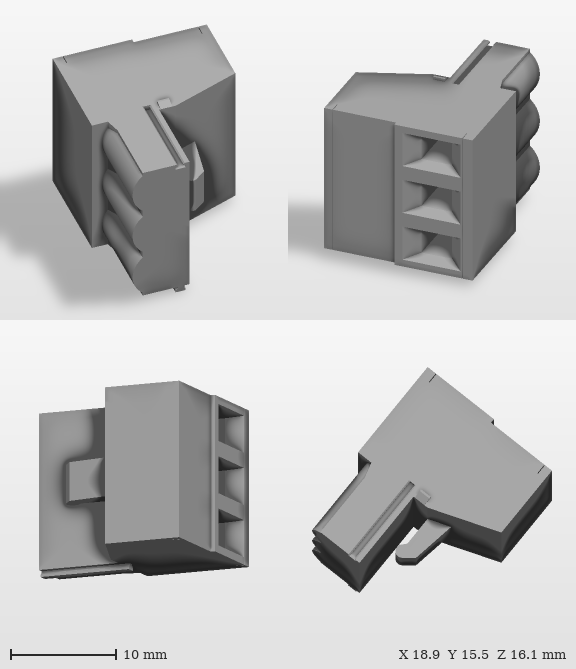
import cadquery as cq
import math


length = 18.85
width = 15.5
pole_count = 3
height = 15.2
pole_pitch = 5.07
pole_heights = [height / 2 + pole_pitch * (i - (pole_count - 1) / 2) for i in range(pole_count)]

front_step = 0.43
front_step_y = 8.07
roof_end_x = 8.12
shoulder_x = 10.63
shoulder_y = 8.5
rear_x = 10.57
tongue_top_y = 6.8
tongue_bottom_y = 2.04
ramp_end_x = 12.12
ramp_start_y = 1.62

shell_radius = 2.8
shell_bottom_y = 1.02

entry_y = 4.25
entry_mouth = (6.0, 3.58)
entry_throat = (3.15, 2.77)
funnel_depth = 1.32
throat_depth = 5.65

slit_width = 0.08
slit_depth = 1.07
lower_slit_y = 1.04
upper_slit_y = 14.6

latch_height = 3.77
latch_root_y = 10.75
latch_bend = (14.25, 10.0)
latch_notch_x = 13.69
hook_center = (14.57, 8.58)
hook_radius = 0.65

joint_start_x = 9.67
joint_y = 5.9
neck_half = 0.28
head_half = 0.5
rail_neck_height = 0.15
rail_ledge_half = 0.38
rail_ledge_start = 0.28
rail_ledge_end = 0.35
rail_height = 0.6
groove_mouth_half = 0.41
groove_chamfer_depth = 0.13
groove_neck_end = 0.25
groove_flare_end = 0.34
groove_depth = 0.57
tab_height = 0.3
tab_flat_end_x = 9.88
tab_y = 6.95
tab_width = 1.19


def make_housing():
    outline = [
        (0, 0),
        (rear_x, 0),
        (rear_x, ramp_start_y),
        (ramp_end_x, tongue_bottom_y),
        (length, tongue_bottom_y),
        (length, tongue_top_y),
        (shoulder_x, tongue_top_y),
        (shoulder_x, shoulder_y),
        (roof_end_x, width),
        (front_step, width),
        (front_step, front_step_y),
        (0, front_step_y),
    ]
    return cq.Workplane("XY").polyline(outline).close().extrude(height)


def make_shell(z):
    """Cylinder around one contact, kept only where it lies beside the tongue."""
    axis_y = shell_bottom_y + shell_radius
    shell_length = length - rear_x
    cylinder = cq.Workplane("YZ", origin=(rear_x, axis_y, z)).circle(shell_radius).extrude(shell_length)
    keep_depth = tongue_bottom_y - shell_bottom_y
    keep = cq.Workplane("XY").box(shell_length, keep_depth, pole_pitch, centered=(False, False, True))
    return cylinder.intersect(keep.translate((rear_x, shell_bottom_y, z)))


def make_wire_entry(z):
    """Cutter: a funnel narrowing into a straight rectangular throat."""
    mouth = cq.Workplane("YZ", origin=(0, entry_y, z)).rect(*entry_mouth)
    funnel = mouth.workplane(offset=funnel_depth).rect(*entry_throat).loft(ruled=True)
    throat = cq.Workplane("YZ", origin=(funnel_depth, entry_y, z)).rect(*entry_throat).extrude(throat_depth)
    return funnel.union(throat)


def make_slit(start_x, y):
    slit = cq.Workplane("XY").box(slit_depth, slit_width, height, centered=(False, True, False))
    return slit.translate((start_x, y, 0))


def tangent_point(point, side):
    """Point where a line from `point` touches the hook circle; side +1 or -1 picks the tangent."""
    dx = point[0] - hook_center[0]
    dy = point[1] - hook_center[1]
    angle = math.atan2(dy, dx) + side * math.acos(hook_radius / math.hypot(dx, dy))
    return (hook_center[0] + hook_radius * math.cos(angle), hook_center[1] + hook_radius * math.sin(angle))


def make_latch():
    root_fraction = (width - latch_root_y) / (width - shoulder_y)
    root_x = roof_end_x + (shoulder_x - roof_end_x) * root_fraction
    notch = (latch_notch_x, shoulder_y)
    hook_low_right = (
        hook_center[0] + hook_radius * math.cos(math.pi / 4),
        hook_center[1] - hook_radius * math.sin(math.pi / 4),
    )
    return (
        cq.Workplane("XY", origin=(0, 0, (height - latch_height) / 2))
        .moveTo(roof_end_x, shoulder_y)
        .lineTo(roof_end_x, latch_root_y)
        .lineTo(root_x, latch_root_y)
        .lineTo(*latch_bend)
        .lineTo(*tangent_point(latch_bend, -1))
        .threePointArc(hook_low_right, tangent_point(notch, 1))
        .lineTo(*notch)
        .close()
        .extrude(latch_height)
    )


def extrude_joint(half_profile):
    """Mirror (half width, z) points about the joint's middle plane and extrude them to the mating end."""
    mirrored = [(-half, z) for half, z in reversed(half_profile)]
    sketch = cq.Workplane("YZ", origin=(joint_start_x, joint_y, 0)).polyline(half_profile + mirrored)
    return sketch.close().extrude(length - joint_start_x)


def make_rail():
    return extrude_joint([
        (neck_half, 0),
        (neck_half, -rail_neck_height),
        (rail_ledge_half, -rail_ledge_start),
        (head_half, -rail_ledge_end),
        (head_half, -rail_height),
    ])


def make_groove():
    return extrude_joint([
        (groove_mouth_half, height),
        (neck_half, height - groove_chamfer_depth),
        (neck_half, height - groove_neck_end),
        (head_half, height - groove_flare_end),
        (head_half, height - groove_depth),
    ])


def make_tab():
    """Small snap tab on the top face, ramped down towards the mating side."""
    profile = [
        (joint_start_x, height),
        (joint_start_x, height + tab_height),
        (tab_flat_end_x, height + tab_height),
        (shoulder_x, height),
    ]
    return cq.Workplane("XZ", origin=(0, tab_y, 0)).polyline(profile).close().extrude(-tab_width)


result = make_housing().union(make_latch()).union(make_rail()).union(make_tab())
for pole_z in pole_heights:
    result = result.union(make_shell(pole_z)).cut(make_wire_entry(pole_z))
result = result.cut(make_groove())
result = result.cut(make_slit(0, lower_slit_y)).cut(make_slit(front_step, upper_slit_y))